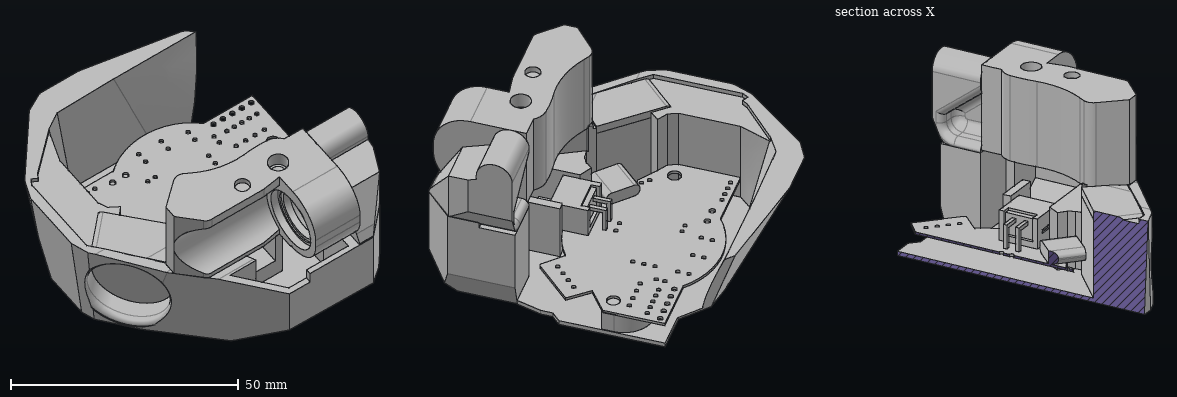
import cadquery as cq
import math

LENGTH = 75.4
DEPTH = 63.4
HEIGHT = 42.6
RIM_Z = 22.9
FLOOR = 1.1
RIGHT_WALL_X = 75.25
FAR = 150.8

RIM = [(6.3, 56.55), (4.5, 54.5), (0, 29.2), (0, 18.6), (2.5, 14.0), (17.6, 1.9),
       (22.5, 0), (37.7, 0), (41.9, 1.4), (56.2, 13.05), (RIGHT_WALL_X, 32.1)]
LEANS = [10.5, 8.9, 11.15, 9.6, 6.3, 2.4, 0.9, 0, -0.6, 0]

FLOOR_BACK_LEFT_X = 17.9
PILLAR_X = 53.2
PILLAR_WIDTH = 8.3
PILLAR_FRONT_Y = 51.2
PILLAR_BACK_Y = 61.3

BOTTOM_CUT_TURN = -1.5

BOARD_TOP = 6.85
BOARD_THICKNESS = 0.7
BOARD_X = 31.05
BOARD_Y = 37.7
BOARD_RADIUS = 18.1
BOARD_FRONT_Y = 11.8
BOARD_BOTTOM = BOARD_TOP - BOARD_THICKNESS
PITCH = 2.6
FINE_PITCH = 2.0

LEDGE_Z = 21.8
PAD_TOP = LEDGE_Z + 0.5
SHELF_Z = 15.1
SLOT_Y = (30.75, 43.0)
SLOT_WALL = 1.95

POCKET_LEFT_X = 64.6

WINDOW_WALL = 8
WINDOW_DIAMETER = 19.0
WINDOW_DEPTH = 5.3
WINDOW_X = 48.9
WINDOW_Z = 11.3
WINDOW_ROUND = 1.5

ARM_BOTTOM = 21.9
HOOK_BOTTOM = 21.4
BLOCK_FRONT_Y = 39.1
BLOCK_BACK_Y = PILLAR_FRONT_Y
BLOCK_ROUND = 8.6
BARREL_DIAMETER = 18.7
ACCESS_DIAMETER = 18.2
BARREL_X = LENGTH - BARREL_DIAMETER / 2
BARREL_Z = 31.5


def prism(points, bottom, top):
    """Upright prism over a closed outline."""
    return cq.Workplane("XY").workplane(offset=bottom).polyline(points).close().extrude(top - bottom)


def box(x0, x1, y0, y1, z0, z1):
    """Box between two opposite corners."""
    return cq.Workplane("XY").box(x1 - x0, y1 - y0, z1 - z0, centered=False).translate((x0, y0, z0))


def cylinder_along_y(x, z, y0, y1, diameter):
    """Round bar parallel to Y."""
    plane = cq.Plane(origin=(x, y0, z), xDir=(1, 0, 0), normal=(0, 1, 0))
    return cq.Workplane(plane).circle(diameter / 2).extrude(y1 - y0)


def side_profile(points, x0, x1):
    """Outline given in (y, z), extruded along X."""
    return cq.Workplane("YZ").workplane(offset=x0).polyline(points).close().extrude(x1 - x0)


def front_profile(points, y0, y1):
    """Outline given in (x, z), extruded along Y."""
    return cq.Workplane("XZ").workplane(offset=-y1).polyline(points).close().extrude(y1 - y0)


def outside_of_wall(start, end, lean):
    """Everything outside one leaning wall, whose rim runs from start to end."""
    along = cq.Vector(end[0] - start[0], end[1] - start[1], 0)
    inward = cq.Vector(-along.y, along.x, 0)
    plane = cq.Plane(origin=(start[0], start[1], 0), xDir=inward, normal=along)
    section = [(0, RIM_Z), (lean, 0), (-LENGTH, 0), (-LENGTH, RIM_Z)]
    return cq.Workplane(plane).polyline(section).close().extrude(FAR, both=True)


def bowl_blank():
    """Solid bowl, with all outside faces."""
    outline = [(0, 0), (0, 58.8), (PILLAR_X, 58.8), (PILLAR_X, PILLAR_BACK_Y), (68.8, PILLAR_BACK_Y),
               (RIGHT_WALL_X, 54.9), (RIGHT_WALL_X, 0)]
    blank = prism(outline, 0, RIM_Z)
    for start, end, lean in zip(RIM, RIM[1:], LEANS):
        blank = blank.cut(outside_of_wall(start, end, lean))
    bottom_cut = front_profile([(67.1, 0), (79.15, 9.05), (79.15, 0)], 0, DEPTH)
    bottom_cut = bottom_cut.rotate((67.1, PILLAR_BACK_Y, 0), (67.1, PILLAR_BACK_Y, 1), BOTTOM_CUT_TURN)
    back_cut = side_profile([(PILLAR_BACK_Y, 6.0), (59.6, 0), (DEPTH, 0)], PILLAR_X, LENGTH)
    return blank.cut(bottom_cut).cut(back_cut)


def floor_tab():
    """Back part of the floor, reaching out under the board."""
    outline = [(FLOOR_BACK_LEFT_X, 45.2), (FLOOR_BACK_LEFT_X, DEPTH), (42.45, DEPTH), (44.5, 61.4),
               (47.3, 61.4), (PILLAR_X, 59.8), (PILLAR_X, 45.2)]
    return prism(outline, 0, FLOOR)


def main_cavity():
    """Space for the circuit board, open at the top and at the back, with a leaning left side."""
    right_side = [(17.05, BOARD_FRONT_Y), (31.35, BOARD_FRONT_Y), (33.6, 12.8), (35.1, 15.2), (37.2, 13.4),
                  (47.05, 22.2), (49.1, 23.0), (48.9, 24.7), (48.1, 26.3), (46.4, 27.8), (48.0, SLOT_Y[0]),
                  (49.15, 36.95), (48.7, SLOT_Y[1]), (POCKET_LEFT_X, SLOT_Y[1]),
                  (POCKET_LEFT_X, PILLAR_FRONT_Y), (PILLAR_X, PILLAR_FRONT_Y), (PILLAR_X, DEPTH)]
    left_rim = [(6.3, DEPTH), (6.3, 34.15), (6.6, 18.6), (9.2, 14.55)]
    left_foot = [(16.0, DEPTH), (12.1, 40.3), (12.1, 18.6), (14.1, 14.4)]
    return (cq.Workplane("XY").workplane(offset=FLOOR).polyline(left_foot + right_side).close()
            .workplane(offset=RIM_Z - FLOOR).polyline(left_rim + right_side).close().loft(ruled=True))


def front_recess():
    """Shallow step that lowers the front ledge below the rim."""
    outline = [(9.2, 14.55), (17.5, 5.5), (18.85, 4.7), (18.1, 3.25), (19.6, 2.4), (40.2, 2.4),
               (53.75, 14.2), (47.5, 22.6), (33.9, 22.6)]
    return prism(outline, LEDGE_Z, RIM_Z)


def right_pocket():
    """Deep pocket beside the right wall, with a slanted floor."""
    plan = prism([(POCKET_LEFT_X, 23.7), (73.95, 32.9), (73.95, 49.0), (POCKET_LEFT_X, 49.0)], FLOOR, RIM_Z)
    slope = front_profile([(POCKET_LEFT_X, FLOOR), (73.95, 7.55), (73.95, FLOOR)], 0, DEPTH)
    return plan.cut(slope)


def window_bore():
    """Blind round bore with a rounded mouth, square to the slanted front wall."""
    start, end = RIM[WINDOW_WALL], RIM[WINDOW_WALL + 1]
    run = cq.Vector(end[0] - start[0], end[1] - start[1], 0)
    inward = cq.Vector(-run.y, run.x, 0).normalized()
    inset = LEANS[WINDOW_WALL] * (RIM_Z - WINDOW_Z) / RIM_Z
    share = (WINDOW_X - start[0]) / run.x
    centre = cq.Vector(start[0], start[1], WINDOW_Z) + run * share + inward * inset
    radius = WINDOW_DIAMETER / 2
    middle_of_round = WINDOW_ROUND * (1 - math.sqrt(0.5))
    bore = (cq.Workplane(cq.Plane(origin=centre, xDir=run, normal=(0, 0, -1)))
            .moveTo(0, -WINDOW_DEPTH)
            .lineTo(radius, -WINDOW_DEPTH)
            .lineTo(radius, -WINDOW_ROUND)
            .threePointArc((radius + middle_of_round, -middle_of_round), (radius + WINDOW_ROUND, 0))
            .lineTo(radius + WINDOW_ROUND, WINDOW_DEPTH)
            .lineTo(0, WINDOW_DEPTH)
            .close())
    return bore.revolve(360, (0, 0, 0), (0, 1, 0))


def cover_pad():
    """Raised pad on the ledge above the window."""
    pad = prism([(33.4, 10.1), (40.8, 2.9), (53.5, 14.2), (47.05, 22.2)], LEDGE_Z - 1.5, PAD_TOP)
    left_edge = cq.selectors.NearestToPointSelector((37.1, 6.5, PAD_TOP))
    return pad.edges(left_edge).fillet(1.35)


def board_support():
    """Rounded block under the board at the back."""
    return box(22.6, 32.65, 51.1, 63.2, FLOOR, BOARD_BOTTOM).edges("|Z and >Y and <X").fillet(7.1)


def rim_slope():
    """Cut that lowers the rim towards the right."""
    outline = [(43.3, RIM_Z), (55.8, ARM_BOTTOM), (64.1, ARM_BOTTOM), (RIGHT_WALL_X, 19.8), (LENGTH, RIM_Z)]
    return front_profile(outline, 0, 37.7)


def right_shelf():
    """Cuts for the low shelf, the wire connector slot and the passage to the right pocket."""
    shelf = prism([(45.2, 24.1), (49.1, 22.6), (POCKET_LEFT_X, SLOT_Y[0]), (POCKET_LEFT_X, SLOT_Y[1]),
                   (45.2, SLOT_Y[1])], SHELF_Z, RIM_Z)
    slot = box(45.2, POCKET_LEFT_X, SLOT_Y[0], SLOT_Y[1] - SLOT_WALL, BOARD_BOTTOM, RIM_Z)
    passage = box(57.6, POCKET_LEFT_X, SLOT_Y[0], SLOT_Y[1], FLOOR, RIM_Z)
    return shelf.union(slot).union(passage)


def hook_seat():
    """Cut that lowers the pillar to the underside of the hook."""
    return box(PILLAR_X, PILLAR_X + PILLAR_WIDTH, PILLAR_FRONT_Y, DEPTH, HOOK_BOTTOM, RIM_Z)


def housing_before_fitting():
    """Housing with everything but the recess for the arm."""
    body = bowl_blank().cut(main_cavity()).cut(front_recess())
    body = body.union(floor_tab()).union(cover_pad()).union(board_support())
    for cutter in (rim_slope(), right_pocket(), window_bore(), right_shelf(), hook_seat()):
        body = body.cut(cutter)
    return body


def arm_plate():
    """Upright arm with an S-shaped left side."""
    return (cq.Workplane("XY").workplane(offset=ARM_BOTTOM)
            .moveTo(53.8, BLOCK_BACK_Y)
            .lineTo(53.8, 46.15)
            .threePointArc((52.6, 44.8), (52.0, 43.0))
            .threePointArc((51.95, 39.7), (52.25, 36.35))
            .threePointArc((51.8, 29.8), (49.4, 23.8))
            .lineTo(48.55, 22.3)
            .threePointArc((48.4, 20.9), (49.0, 19.6))
            .lineTo(54.0, 13.95)
            .lineTo(57.1, 13.95)
            .lineTo(61.75, 18.5)
            .threePointArc((62.35, 19.3), (62.5, 20.35))
            .lineTo(62.5, 34.4)
            .lineTo(61.75, BLOCK_FRONT_Y)
            .lineTo(61.75, BLOCK_BACK_Y)
            .close()
            .extrude(HEIGHT - ARM_BOTTOM))


def barrel_block():
    """Block at the back of the arm, rounded around the barrel axis."""
    block = box(56.55, LENGTH, BLOCK_FRONT_Y, BLOCK_BACK_Y, BARREL_Z, HEIGHT)
    block = block.edges("|Y and >X and >Z").fillet(BLOCK_ROUND)
    foot = box(56.55, BARREL_X, BLOCK_FRONT_Y, BLOCK_BACK_Y, ARM_BOTTOM, BARREL_Z)
    barrel = cylinder_along_y(BARREL_X, BARREL_Z, BLOCK_FRONT_Y, BLOCK_BACK_Y, BARREL_DIAMETER)
    return block.union(foot).union(barrel)


def stepped_socket():
    """Stepped socket in the barrel front, ending in a rounded bottom and a small hole."""
    profile = (cq.Workplane("XY").moveTo(0, 0).lineTo(7.5, 0).lineTo(7.5, 1.9).lineTo(6.8, 1.9)
               .lineTo(6.8, 2.25).lineTo(5.95, 2.25).lineTo(5.4, 3.8).lineTo(4.2, 4.5)
               .threePointArc((3.0, 7.55), (0.75, 8.75)).lineTo(0.75, 9.8).lineTo(0, 9.8).close())
    socket = profile.revolve(360, (0, 0, 0), (0, 1, 0))
    return socket.translate((BARREL_X, BLOCK_FRONT_Y, BARREL_Z))


def rear_hook():
    """Hook behind the block: a round-topped bar, a sloping back and a scooped side."""
    left, right = PILLAR_X, PILLAR_X + PILLAR_WIDTH
    mouth_round = 1.7
    bar_radius = PILLAR_WIDTH / 2
    bar_z = HEIGHT - bar_radius
    heel, heel_top = (61.4, 22.8), (DEPTH, 27.3)
    profile = [(BLOCK_BACK_Y, HOOK_BOTTOM), (58.8, HOOK_BOTTOM), (60.55, 21.9), heel, heel_top, (DEPTH, bar_z),
               (BLOCK_BACK_Y, bar_z)]
    bar = side_profile(profile, left, right)
    bar = bar.union(cylinder_along_y(left + bar_radius, bar_z, BLOCK_BACK_Y, DEPTH, PILLAR_WIDTH))
    scoop = (side_profile([(43.7, 41.3), (60.7, 28.1), (60.7, 23.4), (43.7, 23.4)], left, left + 6.0)
             .edges("|X and >Y and <Z").fillet(2.9).faces(">X").edges().fillet(2.25))
    bar = bar.cut(scoop)
    mouth = cq.selectors.BoxSelector((left - 0.1, BLOCK_BACK_Y + 0.1, 23.3), (left + 0.1, 60.8, 35.4))
    bar = bar.edges(mouth).fillet(mouth_round)
    back = front_profile([(right, RIM_Z), (right, 37.3), (68.6, 34.7), (74.0, 25.6), (RIGHT_WALL_X, 23.4),
                          (RIGHT_WALL_X, RIM_Z)], BLOCK_BACK_Y, DEPTH)
    corner = prism([(63.5, DEPTH), (68.6, 61.4), (RIGHT_WALL_X, 54.9), (RIGHT_WALL_X, DEPTH)], 0, HEIGHT)
    underside = side_profile([heel, heel_top, (heel_top[0], HOOK_BOTTOM), (heel[0], HOOK_BOTTOM)], left, LENGTH)
    return bar.union(back.cut(corner).cut(underside))


def top_hole():
    """Shallow blind hole in the arm top."""
    diameter, depth = 3.55, 1.5
    return cq.Workplane("XY", origin=(58.8, 31.2, HEIGHT)).circle(diameter / 2).extrude(-depth)


def screw_hole():
    """Blind screw hole with a narrower, pointed bottom."""
    radius, tip_radius = 4.7 / 2, 3.55 / 2
    depth, tip_depth = 3.8, 5.3
    profile = [(0, 0), (radius, 0), (radius, -depth), (tip_radius, -depth), (0, -tip_depth)]
    hole = cq.Workplane("XZ").polyline(profile).close().revolve(360, (0, 0, 0), (0, 1, 0))
    return hole.translate((58.35, 41.25, HEIGHT))


def arm_body():
    """Complete arm."""
    access = cylinder_along_y(BARREL_X, BARREL_Z, 0, BLOCK_FRONT_Y, ACCESS_DIAMETER)
    body = arm_plate().cut(access).union(barrel_block()).union(rear_hook())
    for cutter in (stepped_socket(), screw_hole(), top_hole()):
        body = body.cut(cutter)
    return body


def board_plate():
    """Round board with a back tab, a slanted tab and a front tab."""
    disc = cq.Workplane("XY", origin=(BOARD_X, BOARD_Y, 0)).circle(BOARD_RADIUS).extrude(BOARD_THICKNESS)
    back = [(17.95, 45.2), (17.95, DEPTH), (32.3, DEPTH), (36.5, 57.8), (41.3, 62.0), (50.3, 53.15),
            (45.7, 48.5), (45.7, 45.2)]
    front = [(17.05, 30.15), (17.05, BOARD_FRONT_Y), (31.35, BOARD_FRONT_Y), (33.6, 12.8),
             (35.1, 15.2), (38.3, 19.6), (38.3, 30.15)]
    back_tab = prism(back, 0, BOARD_THICKNESS).edges("|Z and >X").fillet(0.5)
    plate = disc.union(back_tab).union(prism(front, 0, BOARD_THICKNESS))
    return plate.translate((0, 0, BOARD_BOTTOM))


def hole_row(first, step, count, diameter):
    """Row of through holes in the board."""
    points = [(first[0] + i * step[0], first[1] + i * step[1]) for i in range(count)]
    return (cq.Workplane("XY").workplane(offset=BOARD_BOTTOM).pushPoints(points)
            .circle(diameter / 2).extrude(BOARD_THICKNESS))


HOLE_ROWS = [
    ((BOARD_X, 15.7), (0, 43.9), 2, 3.1),
    ((19.45, 62.05), (0, -PITCH), 5, 1.2),
    ((22.7, 61.2), (0, -FINE_PITCH), 5, 1.0),
    ((27.2, 60.0), (0, -PITCH), 4, 1.0),
    ((22.25, 49.9), (FINE_PITCH, 0), 2, 1.0),
    ((17.95, 46.0), (PITCH, 0), 2, 1.0),
    ((25.85, 45.8), (PITCH, 0), 3, 1.0),
    ((16.5, 39.7), (PITCH, 0), 2, 1.0),
    ((16.5, 33.6), (PITCH, 0), 2, 1.0),
    ((23.75, 32.9), (0, -FINE_PITCH), 2, 0.9),
    ((19.5, 27.9), (0, -3.55), 2, 1.4),
    ((18.6, 20.2), (0, -FINE_PITCH), 4, 1.0),
    ((40.8, 57.9), (1.8, -1.8), 4, 1.0),
    ((37.7, 37.1), (0, -PITCH), 2, 1.0),
    ((37.25, 20.2), (-1.4, -1.4), 2, 1.0),
]


def wire_connector():
    """Two-pole connector with bent pins, lying on the board."""
    left, right, front, back, top = 43.0, 51.9, 31.0, 40.6, 14.2
    side_wall = 1.2
    shell = box(left, right, front, back, BOARD_TOP, top)
    notch = box(left, left + 2.0, front + side_wall, back - side_wall, top - 0.6, top)
    back_recess = box(left, left + 0.75, front + side_wall, back - side_wall, BOARD_TOP + 1.5, top)
    side_slot = box(45.2, 48.25, front, front + 0.45, 9.8, 10.7)
    shell = shell.cut(notch).cut(back_recess).cut(side_slot)

    pin_size, pin_x, pin_top = 0.9, 40.2, 12.7
    pin_left = pin_x - pin_size / 2
    for pin_y in (34.2, 37.3):
        y0, y1 = pin_y - pin_size / 2, pin_y + pin_size / 2
        post = box(pin_left, pin_left + pin_size, y0, y1, BOARD_BOTTOM, pin_top)
        reach = box(pin_left, left + 2.25, y0, y1, pin_top - pin_size, pin_top)
        shell = shell.union(post).union(reach)
    return shell


def usb_connector():
    """Flat connector with rounded sides, turned to face the slanted front wall."""
    width, length, height = 8.45, 8.1, 3.2
    side_round, turn = 1.4, -44
    shell = (cq.Workplane("XY").box(length, width, height, centered=(True, True, False))
             .edges("|X").fillet(side_round))
    return shell.rotate((0, 0, 0), (0, 0, 1), turn).translate((42.2, 24.1, BOARD_TOP))


def circuit_board():
    """Board with its holes and both connectors."""
    body = board_plate()
    for first, step, count, diameter in HOLE_ROWS:
        body = body.cut(hole_row(first, step, count, diameter))
    return body.union(wire_connector()).union(usb_connector())


arm = arm_body()
housing = housing_before_fitting().cut(arm)
board = circuit_board()

result = cq.Compound.makeCompound([housing.val(), arm.val(), board.val()])